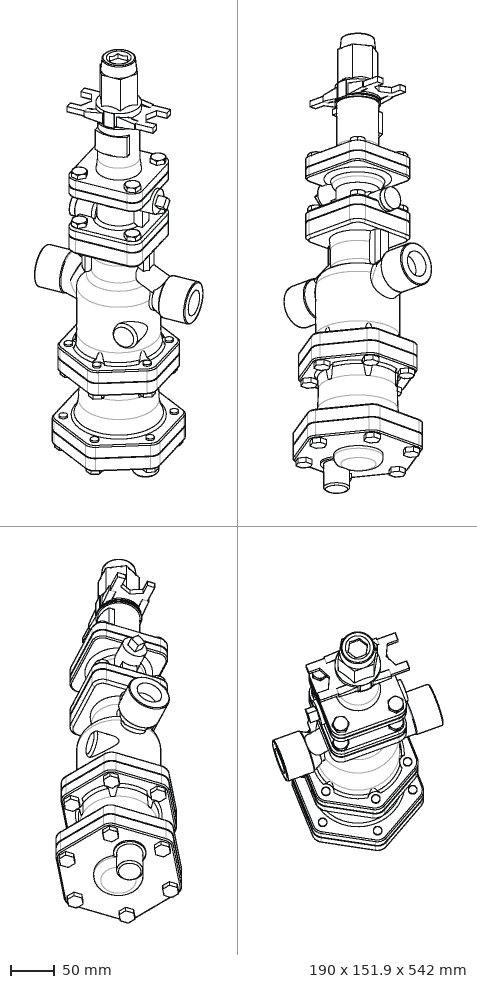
import cadquery as cq
import math



def cylinder(diameter, z_bottom, z_top, x=0, y=0):
    """Vertical cylinder between two heights."""
    return cq.Workplane("XY", origin=(x, y, z_bottom)).circle(diameter / 2).extrude(z_top - z_bottom)


def hexagon(flats, z_bottom, z_top, x=0, y=0, corners_along_y=False):
    """Vertical hexagonal prism; its corners lie along X unless corners_along_y is set."""
    prism = cq.Workplane("XY").polygon(6, flats / math.cos(math.pi / 6)).extrude(z_top - z_bottom)
    if corners_along_y:
        prism = prism.rotate((0, 0, 0), (0, 0, 1), 30)
    return prism.translate((x, y, z_bottom))


def rod(diameter, start, end):
    """Cylinder along any straight line from start to end."""
    axis = cq.Vector(*end) - cq.Vector(*start)
    start_plane = cq.Plane(origin=start, normal=axis.toTuple())
    return cq.Workplane(start_plane).circle(diameter / 2).extrude(axis.Length)


def cone_along_x(x_start, x_end, start_diameter, end_diameter, z):
    """Cone frustum whose axis is parallel to X."""
    profile = [(x_start, 0), (x_start, start_diameter / 2), (x_end, end_diameter / 2), (x_end, 0)]
    frustum = cq.Workplane("XY").polyline(profile).close().revolve(360, (0, 0, 0), (1, 0, 0))
    return frustum.translate((0, 0, z))


def bolt_circle(radius):
    """Six bolt places, two of them on the Y axis."""
    angles = [math.radians(30 + 60 * i) for i in range(6)]
    return [(radius * math.cos(a), radius * math.sin(a)) for a in angles]



total_height = 542
total_length = 190.0

base_flange_bottom, base_flange_top = 32.5, 66.5
body_flange_bottom, body_flange_top = 129.5, 162.5
port_height = 240.0
pilot_flange_bottom, pilot_flange_top = 295.5, 329.5
cap_flange_bottom, cap_flange_top = 370.0, 394.5
collar_bottom, collar_top = 462.0, 483.0

waist_diameter = 90.0
body_diameter = 96.0
neck_diameter = 62.5
pilot_diameter = 50.0
stem_diameter = 48.0
collar_diameter = 52.0

cap_nut_flats = 41.0
cap_nut_top = 527.0

bolt_flats = 17.0
bolt_head_height = 6.0
stud_diameter = 10.0
stud_height = 2.0
stud_clearance = 18.5
head_clearance = 25.5

flange_root = 3.0
waist_z, body_foot_top_z = 113.0, 178.0

seam_width = 0.5
seam_depth = 0.5

overlap = 5.5



def lower_casting():
    """Waist, body, shoulder and neck, from the base flange to the pilot flange."""
    waist = waist_diameter / 2
    body = body_diameter / 2
    neck = neck_diameter / 2
    neck_top, neck_flare_z = 32.5, 283.0
    skirt, skirt_top, skirt_top_z = 51.0, 46.0, 88.0
    skirt_middle = (47.5, 79.0)
    waist_top = waist + 1.0
    body_foot = 50.0

    shoulder_bottom, shoulder_top = 238.5, 260.5
    shoulder_rise = shoulder_top - shoulder_bottom
    convex_radius = 15.0
    convex_centre = body - convex_radius
    offset = convex_centre - neck
    concave_radius = (offset**2 + shoulder_rise**2 - convex_radius**2) / (2 * (convex_radius + offset))
    tangent_angle = math.atan2(shoulder_rise, neck + concave_radius - convex_centre)
    tangent_point = (
        convex_centre + convex_radius * math.cos(tangent_angle),
        shoulder_bottom + convex_radius * math.sin(tangent_angle),
    )
    convex_middle = (
        convex_centre + convex_radius * math.cos(tangent_angle / 2),
        shoulder_bottom + convex_radius * math.sin(tangent_angle / 2),
    )
    concave_middle = (
        neck + concave_radius - concave_radius * math.cos(tangent_angle / 2),
        shoulder_top - concave_radius * math.sin(tangent_angle / 2),
    )

    return (
        cq.Workplane("XZ")
        .moveTo(0, base_flange_bottom)
        .lineTo(skirt + flange_root, base_flange_bottom)
        .lineTo(skirt + flange_root, base_flange_top)
        .lineTo(skirt, base_flange_top + flange_root)
        .threePointArc(skirt_middle, (skirt_top, skirt_top_z))
        .lineTo(waist, waist_z)
        .lineTo(waist_top, body_flange_bottom - flange_root)
        .lineTo(waist_top + flange_root, body_flange_bottom)
        .lineTo(body_foot + flange_root, body_flange_top)
        .lineTo(body_foot, body_flange_top + flange_root)
        .lineTo(body, body_foot_top_z)
        .lineTo(body, shoulder_bottom)
        .threePointArc(convex_middle, tangent_point)
        .threePointArc(concave_middle, (neck, shoulder_top))
        .lineTo(neck, neck_flare_z)
        .lineTo(neck_top, pilot_flange_bottom)
        .lineTo(0, pilot_flange_bottom)
        .close()
        .revolve(360, (0, 0, 0), (0, 1, 0))
    )


def pilot_neck():
    """Short neck with a flared foot and a cup that widens under the upper square flange."""
    radius = pilot_diameter / 2
    foot_radius = radius + 4.5
    throat_z = 356.5
    cup_radius, cup_bottom_z, cup_top_z = 29.0, 362.5, 367.0
    cup_rim_radius = 31.0
    pad_radius = 38.5
    return (
        cq.Workplane("XZ")
        .moveTo(0, pilot_flange_top - overlap)
        .lineTo(foot_radius, pilot_flange_top - overlap)
        .lineTo(foot_radius, pilot_flange_top)
        .lineTo(radius, pilot_flange_top + flange_root)
        .lineTo(radius, throat_z)
        .lineTo(cup_radius, cup_bottom_z)
        .lineTo(cup_rim_radius, cup_top_z)
        .lineTo(pad_radius, cap_flange_bottom)
        .lineTo(0, cap_flange_bottom)
        .close()
        .revolve(360, (0, 0, 0), (0, 1, 0))
    )


def stem():
    """Spring tube with its flared foot, the collar and the tapered step under the hexagon."""
    radius = stem_diameter / 2
    collar = collar_diameter / 2
    foot_top_z = 409.0
    bevel_height = 5.0
    groove_z, groove_width, groove_depth = 464.5, 1.0, 1.0
    return (
        cq.Workplane("XZ")
        .moveTo(0, cap_flange_top - overlap)
        .lineTo(collar, cap_flange_top - overlap)
        .lineTo(collar, cap_flange_top)
        .lineTo(radius, foot_top_z)
        .lineTo(radius, collar_bottom)
        .lineTo(collar, collar_bottom)
        .lineTo(collar, groove_z)
        .lineTo(collar - groove_depth, groove_z)
        .lineTo(collar - groove_depth, groove_z + groove_width)
        .lineTo(collar, groove_z + groove_width)
        .lineTo(collar, collar_top)
        .lineTo(cap_nut_flats / 2, collar_top + bevel_height)
        .lineTo(0, collar_top + bevel_height)
        .close()
        .revolve(360, (0, 0, 0), (0, 1, 0))
    )



cap_tip_diameter = 38.0
cap_tip_bevel = 1.0
socket_flats = 20.5
socket_depth = 8.0
countersink_diameter = 28.0
countersink_depth = 3.0


def cap_nut():
    """Hexagonal nut with a slightly tapered round tip and a countersunk hexagonal socket."""
    nut = hexagon(cap_nut_flats, collar_top, cap_nut_top)
    tip = (
        cq.Workplane("XY", origin=(0, 0, cap_nut_top))
        .circle(cap_nut_flats / 2)
        .workplane(offset=total_height - cap_nut_top)
        .circle(cap_tip_diameter / 2)
        .loft()
        .faces(">Z")
        .chamfer(cap_tip_bevel)
    )
    socket = hexagon(socket_flats, total_height - socket_depth, total_height)
    countersink = (
        cq.Workplane("XY", origin=(0, 0, total_height))
        .circle(countersink_diameter / 2)
        .workplane(offset=-countersink_depth)
        .circle(socket_flats / 2)
        .loft()
    )
    return nut.union(tip).cut(socket).cut(countersink)



plate_bottom, plate_top = 468.0, 475.0
plate_length = 109.0
plate_width = 45.5
notch_width = 27.0
notch_shoulder = 41.0
notch_tip = 34.5
tab_bottom = 463.5
tab_width = 13.5
wedge_bottom, wedge_top = 464.5, 479.0
wedge_reach = 32.0
wedge_inner_y, wedge_outer_y = 16.0, 24.5


def lock_plate():
    """Flat plate clamped in the collar, with a pointed notch in each end and a tab and wedge on each side."""
    thickness = plate_top - plate_bottom
    plate = cq.Workplane("XY", origin=(0, 0, plate_bottom)).rect(plate_length, plate_width).extrude(thickness)
    for side in (-1, 1):
        outline = [
            (side * plate_length, notch_width / 2),
            (side * notch_shoulder, notch_width / 2),
            (side * notch_tip, 0),
            (side * notch_shoulder, -notch_width / 2),
            (side * plate_length, -notch_width / 2),
        ]
        notch = cq.Workplane("XY", origin=(0, 0, plate_bottom)).polyline(outline).close().extrude(thickness)
        plate = plate.cut(notch)
    tab = cq.Workplane("XY", origin=(0, 0, tab_bottom)).rect(tab_width, collar_diameter)
    tab = tab.extrude(collar_top - tab_bottom)
    wedge_outline = [
        (-wedge_reach, plate_bottom),
        (-wedge_reach, plate_top),
        (-tab_width / 2, wedge_top),
        (tab_width / 2, wedge_top),
        (wedge_reach, plate_top),
        (wedge_reach, plate_bottom),
        (tab_width / 2, wedge_bottom),
        (-tab_width / 2, wedge_bottom),
    ]
    wedges = cq.Workplane("XZ").polyline(wedge_outline).close().extrude(wedge_outer_y, both=True)
    gap = cq.Workplane("XY", origin=(0, 0, wedge_bottom)).rect(2 * wedge_reach, 2 * wedge_inner_y)
    wedges = wedges.cut(gap.extrude(wedge_top - wedge_bottom))
    return plate.union(tab).union(wedges)




def name_plate():
    """Gently curved plate on the -Y side of the spring tube."""
    bottom, height = 425.5, 26.0
    half_width = 20.0
    edge_y, middle_y = -20.0, -25.5
    return (
        cq.Workplane("XY", origin=(0, 0, bottom))
        .moveTo(-half_width, 0)
        .lineTo(-half_width, edge_y)
        .threePointArc((0, middle_y), (half_width, edge_y))
        .lineTo(half_width, 0)
        .close()
        .extrude(height)
    )



square_side = 91.5
square_corner_radius = 13.0
square_bolt_offset = 33.5
pilot_seam_z, cap_seam_z = 316.0, 382.0


def bolt_head(z_bottom, x, y, turn):
    """Hexagonal bolt head with its top corners bevelled; turn is its angle about Z."""
    corner_diameter = bolt_flats / math.cos(math.pi / 6)
    bevel = (corner_diameter - bolt_flats) / 2
    envelope = cylinder(corner_diameter, 0, bolt_head_height).faces(">Z").chamfer(bevel)
    head = hexagon(bolt_flats, 0, bolt_head_height).intersect(envelope)
    return head.rotate((0, 0, 0), (0, 0, 1), turn).translate((x, y, z_bottom))


def square_flange(z_bottom, z_top, seam_z, top_bevel, bottom_bevel):
    """Pair of square flanges bolted together, with the bolt heads on top."""
    height = z_top - z_bottom
    flange = cq.Workplane("XY", origin=(0, 0, z_bottom)).rect(square_side, square_side).extrude(height)
    flange = flange.edges("|Z").fillet(square_corner_radius)
    if top_bevel:
        flange = flange.faces(">Z").edges().chamfer(top_bevel)
    flange = flange.faces("<Z").edges().chamfer(bottom_bevel)
    inner_side = square_side - 2 * seam_depth
    core = cq.Workplane("XY", origin=(0, 0, seam_z)).rect(inner_side, inner_side).extrude(seam_width)
    core = core.edges("|Z").fillet(square_corner_radius - seam_depth)
    seam = cq.Workplane("XY", origin=(0, 0, seam_z)).rect(square_side, square_side).extrude(seam_width)
    flange = flange.cut(seam.cut(core))
    for x in (-square_bolt_offset, square_bolt_offset):
        for y in (-square_bolt_offset, square_bolt_offset):
            flange = flange.union(bolt_head(z_top, x, y, turn=math.degrees(math.atan2(y, x))))
    return flange


def rounded_hexagon(flats, corner_radius, z_bottom, z_top):
    """Hexagonal prism with rounded corners, two of them on the Y axis."""
    prism = hexagon(flats, z_bottom, z_top, corners_along_y=True)
    return prism.edges("|Z").fillet(corner_radius)


def hex_flange(flats, corner_radius, z_bottom, z_top, seam_z, bolt_radius):
    """Pair of hexagonal flanges with bolt heads below and stud ends on top."""
    bevel = 1.5
    flange = rounded_hexagon(flats, corner_radius, z_bottom, z_top).faces("<Z or >Z").chamfer(bevel)
    seam = rounded_hexagon(flats, corner_radius, seam_z, seam_z + seam_width)
    core = rounded_hexagon(flats - 2 * seam_depth, corner_radius - seam_depth, seam_z, seam_z + seam_width)
    flange = flange.cut(seam.cut(core))
    for x, y in bolt_circle(bolt_radius):
        head = hexagon(bolt_flats, z_bottom - bolt_head_height, z_bottom, x, y, corners_along_y=True)
        stud = cylinder(stud_diameter, z_top, z_top + stud_height, x, y)
        flange = flange.union(head).union(stud)
    return flange


body_bolt_radius = 57.5
base_bolt_radius = 63.5
body_flange_flats, body_corner_radius, body_seam_z = 124.0, 14.0, 146.5
base_flange_flats, base_corner_radius, base_seam_z = 135.0, 13.0, 50.0


def bolt_clearances():
    """Pockets in the flared wall above and below the body flange, one pair for each bolt."""
    pockets = cq.Workplane("XY")
    for x, y in bolt_circle(body_bolt_radius):
        pockets = pockets.union(cylinder(stud_clearance, body_flange_top, body_foot_top_z, x, y))
        pockets = pockets.union(cylinder(head_clearance, waist_z, body_flange_bottom, x, y))
    return pockets



port_diameter = 50.0
port_bore_diameter = 30.0
port_bore_depth = 16.0
port_inner_end = 62.0
port_bevel = 1.0
port_root_diameter = port_diameter - 2 * port_bevel


def port(side):
    """Socket end of a pipe port; side is -1 for the inlet and 1 for the outlet."""
    outer_end = side * total_length / 2
    barrel = rod(port_diameter, (side * port_inner_end, 0, port_height), (outer_end, 0, port_height))
    return barrel.faces("<X or >X").chamfer(port_bevel)


def port_bore(side):
    """Blind bore in the outer end of a port."""
    outer_end = side * total_length / 2
    bottom = outer_end - side * port_bore_depth
    return rod(port_bore_diameter, (bottom, 0, port_height), (outer_end, 0, port_height))


def inlet():
    """Port on the -X side whose passage slopes down into the body through a tilted collar."""
    drop, reach = 11.5, 24.5
    passage_end_diameter = 41.0
    passage = (
        cq.Workplane("YZ", origin=(-port_inner_end, 0, port_height))
        .circle(port_root_diameter / 2)
        .workplane(offset=reach)
        .center(0, -drop)
        .circle(passage_end_diameter / 2)
        .loft()
    )
    ring_diameter = 44.0
    collar = rod(ring_diameter, (-53.0, 0, 237.0), (-32.5, 0, 230.5))
    return port(-1).union(passage).union(collar)


def outlet():
    """Port on the +X side, fed by a tube that slopes down from the neck."""
    back_start, back_diameter = 51.0, 37.0
    web_diameter, web_z = 30.5, 235.0
    tube_diameter = 27.0
    back = cone_along_x(back_start, port_inner_end, back_diameter, port_root_diameter, port_height)
    web = rod(web_diameter, (32.5, 0, web_z), (55.5, 0, web_z))
    tube = rod(tube_diameter, (16.0, 0, 272.5), (60.5, 0, 250.5))
    return port(1).union(back).union(web).union(tube)




def pilot_passage(side, outer_x, z_bottom):
    """Vertical conduit beside the neck with bevelled outer corners."""
    inner_x = 21.5
    half_width = 10.5
    bevel_x, bevel_y = 5.5, 4.0
    outline = [
        (side * inner_x, half_width),
        (side * (outer_x - bevel_x), half_width),
        (side * outer_x, half_width - bevel_y),
        (side * outer_x, bevel_y - half_width),
        (side * (outer_x - bevel_x), -half_width),
        (side * inner_x, -half_width),
    ]
    base = cq.Workplane("XY", origin=(0, 0, z_bottom)).polyline(outline).close()
    return base.extrude(pilot_flange_bottom - z_bottom)


def screen_boss():
    """Boss with a round cap on the -X side of the pilot neck."""
    z = 331.5
    diameter, root_diameter = 27.0, 34.5
    root_start, root_end = -28.0, -21.5
    cap_diameter = 26.0
    cap_start, cap_end = -49.5, -56.5
    boss = rod(diameter, (cap_start, 0, z), (0, 0, z))
    root = cone_along_x(root_start, root_end, diameter, root_diameter, z)
    cap = rod(cap_diameter, (cap_end, 0, z), (cap_start, 0, z))
    return boss.union(root).union(cap)


def plug_boss():
    """Boss with a square-headed plug on the +X side of the pilot neck, carried by a rib."""
    z = 363.0
    diameter = 30.0
    end_x = 50.0
    head_diagonal, head_length = 17.5, 11.0
    rib_thickness, rib_reach = 17.5, 34.0
    boss = rod(diameter, (0, 0, z), (end_x, 0, z))
    head = cq.Workplane("YZ", origin=(end_x, 0, z)).polygon(4, head_diagonal).extrude(head_length)
    rib_bottom = pilot_flange_top - overlap
    rib = cq.Workplane("XY", origin=(rib_reach / 2, 0, rib_bottom)).rect(rib_reach, rib_thickness)
    rib = rib.extrude(z - rib_bottom)
    return boss.union(head).union(rib)


def body_plug():
    """Round plug facing -Y low on the body."""
    x, z = 28.5, 202.5
    diameter, bevel = 32.0, 3.0
    end_y = -46.5
    plug = rod(diameter, (x, 0, z), (x, end_y, z))
    return plug.faces("<Y").chamfer(bevel)


def drain():
    """Rounded bottom cover and the drain pipe beside it."""
    cover_x, cover_diameter, cover_bottom = -1.0, 56.5, 21.0
    cover_rounding = 8.0
    pipe_x, pipe_diameter, pipe_bevel = 34.0, 30.0, 2.0
    root_diameter, root_height = 37.0, 2.0
    cover = cylinder(cover_diameter, cover_bottom, base_flange_bottom, x=cover_x)
    cover = cover.faces("<Z").edges().fillet(cover_rounding)
    pipe = cylinder(pipe_diameter, 0, base_flange_bottom, x=pipe_x).faces("<Z").chamfer(pipe_bevel)
    root = cylinder(root_diameter, base_flange_bottom - root_height, base_flange_bottom, x=pipe_x)
    return cover.union(pipe).union(root)



casting = lower_casting().cut(bolt_clearances())
base_flange = hex_flange(
    base_flange_flats, base_corner_radius, base_flange_bottom, base_flange_top, base_seam_z, base_bolt_radius
)
body_flange = hex_flange(
    body_flange_flats, body_corner_radius, body_flange_bottom, body_flange_top, body_seam_z, body_bolt_radius
)
pilot_flange = square_flange(
    pilot_flange_bottom, pilot_flange_top, pilot_seam_z, top_bevel=2.5, bottom_bevel=3.0
)
cap_flange = square_flange(
    cap_flange_bottom, cap_flange_top, cap_seam_z, top_bevel=0, bottom_bevel=1.5
)

result = (
    casting
    .union(base_flange)
    .union(body_flange)
    .union(pilot_flange)
    .union(cap_flange)
    .union(pilot_neck())
    .union(stem())
    .union(cap_nut())
    .union(lock_plate())
    .union(name_plate())
    .union(inlet())
    .union(outlet())
    .union(pilot_passage(-1, outer_x=43.5, z_bottom=252.0))
    .union(pilot_passage(1, outer_x=42.0, z_bottom=265.5))
    .union(screen_boss())
    .union(plug_boss())
    .union(body_plug())
    .union(drain())
    .cut(port_bore(-1))
    .cut(port_bore(1))
)